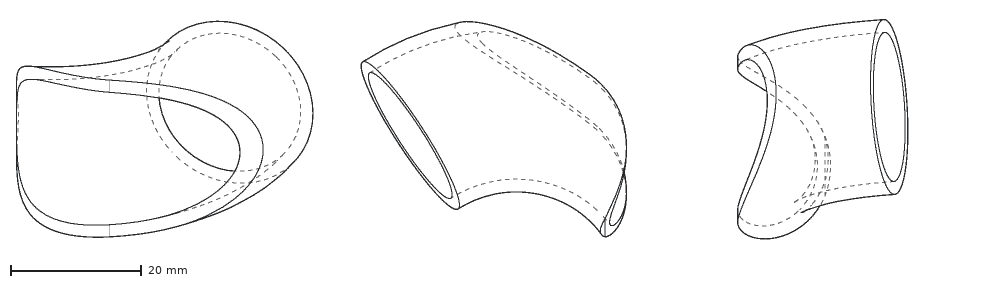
import cadquery as cq
import math

outer_reach = 42.45
tube_diameter = 26.9
wall = 2.0

tube_radius = tube_diameter / 2
bore_radius = tube_radius - wall
bend_radius = outer_reach - tube_radius

cut_depth = 26.8
nose_radius = 14.45
nose_center_x = 13.85
flat_arc_radius = 77.25
join_angle = math.radians(17.7)

nose_center = (nose_center_x, nose_radius - cut_depth)
flat_arc_center = (
    nose_center[0] - (flat_arc_radius - nose_radius) * math.sin(join_angle),
    nose_center[1] + (flat_arc_radius - nose_radius) * math.cos(join_angle),
)


def bend(radius):
    """Solid quarter bend of a round bar; the bend starts on the XZ plane."""
    return (
        cq.Workplane("XZ")
        .center(bend_radius, 0)
        .circle(radius)
        .revolve(90, (-bend_radius, 0), (-bend_radius, -1))
    )


def arc_point(center, radius, angle):
    """Point on an arc, with the angle measured from -Y towards +X."""
    return (center[0] + radius * math.sin(angle), center[1] - radius * math.cos(angle))


def kept_region():
    """Prism along Z that holds the part of the bend left by the cut."""
    nose_start_angle = -math.asin(nose_center_x / nose_radius)
    flat_end_angle = math.asin((outer_reach - flat_arc_center[0]) / flat_arc_radius)
    nose_start = arc_point(nose_center, nose_radius, nose_start_angle)
    nose_middle = arc_point(nose_center, nose_radius, (nose_start_angle + join_angle) / 2)
    joint = arc_point(nose_center, nose_radius, join_angle)
    flat_middle = arc_point(flat_arc_center, flat_arc_radius, (join_angle + flat_end_angle) / 2)
    flat_end = arc_point(flat_arc_center, flat_arc_radius, flat_end_angle)
    return (
        cq.Workplane("XY")
        .moveTo(0, 0)
        .lineTo(*nose_start)
        .threePointArc(nose_middle, joint)
        .threePointArc(flat_middle, flat_end)
        .lineTo(outer_reach, 0)
        .close()
        .extrude(tube_diameter, both=True)
    )


result = bend(tube_radius).cut(bend(bore_radius)).intersect(kept_region())